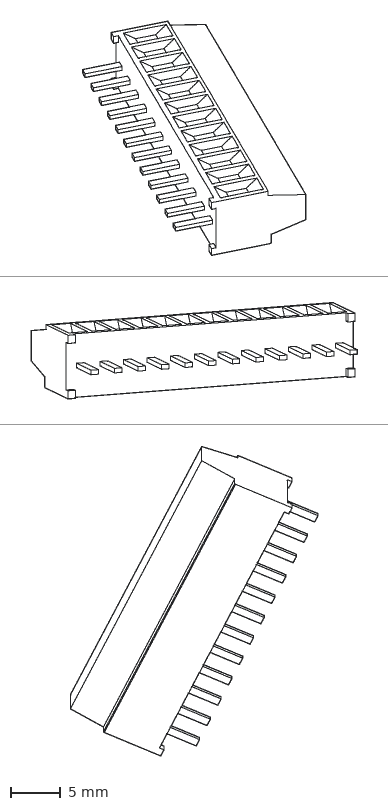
import cadquery as cq

length = 30.95
height = 6.5
overall_depth = 13.4
pin_length = 3.9
body_depth = overall_depth - pin_length

nose_top = 5.17
nose_bottom = 2.07
upper_step_depth = 4.0
upper_step_height = 0.5
lower_step_depth = 3.65
lower_step_height = 1.1
lower_edge_chamfer = 0.1

foot_width = 0.77
foot_height = 0.85
foot_length = 0.5

pole_count = 12
pitch = 2.55
pole_positions = [(i - (pole_count - 1) / 2) * pitch for i in range(pole_count)]

pin_width = 0.8
pin_thickness = 0.45

pocket_width = 2.0
pocket_length = 4.55
pocket_front_wall = 0.62
pocket_depth = 0.8
floor_width = 1.52
floor_length = 2.15


def make_housing():
    """Constant side profile, extruded along X and centred on X = 0."""
    upper_step_y = body_depth - upper_step_depth
    lower_step_y = body_depth - lower_step_depth
    profile = [
        (0, 0),
        (lower_step_y - lower_edge_chamfer, 0),
        (lower_step_y, lower_edge_chamfer),
        (lower_step_y, lower_step_height),
        (body_depth, nose_bottom),
        (body_depth, nose_top),
        (upper_step_y, height - upper_step_height),
        (upper_step_y, height),
        (0, height),
    ]
    return cq.Workplane("YZ").polyline(profile).close().extrude(length / 2, both=True)


def make_feet():
    """One small block at each corner of the pin face."""
    return (
        cq.Workplane("XZ", origin=(0, 0, height / 2))
        .rarray(length - foot_width, height - foot_height, 2, 2)
        .rect(foot_width, foot_height)
        .extrude(foot_length)
    )


def make_pins():
    """A row of flat pins at mid-height."""
    return (
        cq.Workplane("XZ", origin=(0, 0, height / 2))
        .pushPoints([(x, 0) for x in pole_positions])
        .rect(pin_width, pin_thickness)
        .extrude(pin_length)
    )


def make_pocket(x):
    """Pocket with four sloping walls narrowing to a flat floor."""
    center_y = pocket_front_wall + pocket_length / 2
    return (
        cq.Workplane("XY", origin=(x, center_y, height))
        .rect(pocket_width, pocket_length)
        .workplane(offset=-pocket_depth)
        .rect(floor_width, floor_length)
        .loft(ruled=True)
    )


result = make_housing().union(make_feet()).union(make_pins())
for pole_x in pole_positions:
    result = result.cut(make_pocket(pole_x))